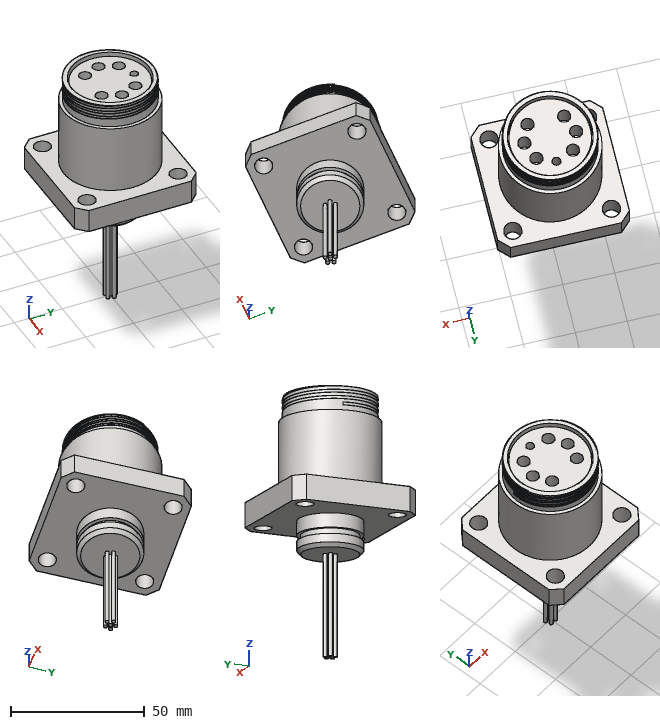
import cadquery as cq
import math

overall_height = 100.7

flange_side = 50.8
flange_thickness = 9.8
flange_corner_chamfer = 4.0
mount_hole_diameter = 6.7
mount_hole_spacing = 38.0

barrel_diameter = 38.8
barrel_height = 28.5
neck_diameter = 36.0
neck_height = 9.8
barrel_top = flange_thickness + barrel_height
neck_top = barrel_top + neck_height

thread_pitch = 2.4
thread_groove_width = 1.1
thread_groove_depth = 0.3
thread_start_depth = 6.8
thread_start_angle = 171.0
thread_runout = 0.8

socket_diameter = 32.0
insert_diameter = 31.0
insert_recess = 1.5
insert_gap_depth = 2.0

contact_hole_diameter = 4.8
key_hole_diameter = 3.2
contact_circle_radius = 10.0
contact_hole_depth = 10.1
contact_angles = [-45, 0, 45, 135, 180, 225]
key_angle = 90

gland_diameter = 25.2
gland_groove_diameter = 22.5
gland_neck_height = 5.5
gland_groove_height = 2.4
gland_band_height = 3.3
gland_chamfer = 1.5
gland_height = gland_neck_height + gland_groove_height + gland_band_height + gland_chamfer

wire_diameter = 1.5
wire_length = overall_height - neck_top - gland_height
ring_wire_count = 5
wire_ring_radius = 2.0
wire_bundle_y = 0.1
wire_anchor = 1.0


def polar(radius, angle):
    return (radius * math.cos(math.radians(angle)), radius * math.sin(math.radians(angle)))


def cylinder(diameter, bottom, height):
    return cq.Workplane("XY", origin=(0, 0, bottom)).circle(diameter / 2).extrude(height)


def make_flange():
    return (
        cq.Workplane("XY")
        .rect(flange_side, flange_side)
        .extrude(flange_thickness)
        .edges("|Z")
        .chamfer(flange_corner_chamfer)
        .faces(">Z")
        .workplane()
        .rect(mount_hole_spacing, mount_hole_spacing, forConstruction=True)
        .vertices()
        .hole(mount_hole_diameter)
    )


def make_gland():
    """Turned gland: neck, seal groove, band and a chamfered lower end."""
    outer = gland_diameter / 2
    inner = gland_groove_diameter / 2
    groove_top = -gland_neck_height
    groove_bottom = groove_top - gland_groove_height
    chamfer_top = groove_bottom - gland_band_height
    profile = [
        (0, 0),
        (outer, 0),
        (outer, groove_top),
        (inner, groove_top),
        (inner, groove_bottom),
        (outer, groove_bottom),
        (outer, chamfer_top),
        (outer - gland_chamfer, -gland_height),
        (0, -gland_height),
    ]
    return cq.Workplane("XZ").polyline(profile).close().revolve(360, (0, 0), (0, 1))


def make_thread_groove():
    """Rectangular groove swept along a helix, reaching a little outside the neck."""
    neck_radius = neck_diameter / 2
    root_radius = neck_radius - thread_groove_depth
    section_width = 2 * thread_groove_depth
    helix = cq.Wire.makeHelix(thread_pitch, thread_start_depth + thread_runout, root_radius)
    groove = (
        cq.Workplane("XZ")
        .center(root_radius + section_width / 2, 0)
        .rect(section_width, thread_groove_width)
        .sweep(cq.Workplane(helix), isFrenet=True)
    )
    return groove.rotate((0, 0, 0), (0, 0, 1), thread_start_angle).translate(
        (0, 0, neck_top - thread_start_depth)
    )


def make_neck():
    """Neck cut with the groove at extra length, then faced off at the rim."""
    blank = cylinder(neck_diameter, barrel_top, neck_height + 2 * thread_runout)
    grooved = blank.cut(make_thread_groove())
    return grooved.intersect(cylinder(barrel_diameter, barrel_top, neck_height))


def make_socket_cut():
    """Recess above the insert together with the ring gap around it."""
    insert_top = neck_top - insert_recess
    gap_bottom = insert_top - insert_gap_depth
    bore = cylinder(socket_diameter, gap_bottom, neck_top - gap_bottom)
    return bore.cut(cylinder(insert_diameter, gap_bottom, insert_gap_depth))


def make_contact_holes():
    hole_bottom = neck_top - insert_recess - contact_hole_depth
    base = cq.Workplane("XY", origin=(0, 0, hole_bottom))
    contact_points = [polar(contact_circle_radius, angle) for angle in contact_angles]
    contacts = base.pushPoints(contact_points).circle(contact_hole_diameter / 2).extrude(contact_hole_depth)
    key_point = polar(contact_circle_radius, key_angle)
    key = base.pushPoints([key_point]).circle(key_hole_diameter / 2).extrude(contact_hole_depth)
    return contacts.union(key)


def make_wires():
    first_angle = 90
    points = [(0, 0)]
    for index in range(ring_wire_count):
        points.append(polar(wire_ring_radius, first_angle + index * 360 / ring_wire_count))
    return (
        cq.Workplane("XY", origin=(0, wire_bundle_y, -gland_height - wire_length))
        .pushPoints(points)
        .circle(wire_diameter / 2)
        .extrude(wire_length + wire_anchor)
    )


result = (
    make_flange()
    .union(cylinder(barrel_diameter, flange_thickness, barrel_height))
    .union(make_neck())
    .union(make_gland())
    .cut(make_socket_cut())
    .cut(make_contact_holes())
    .union(make_wires())
)